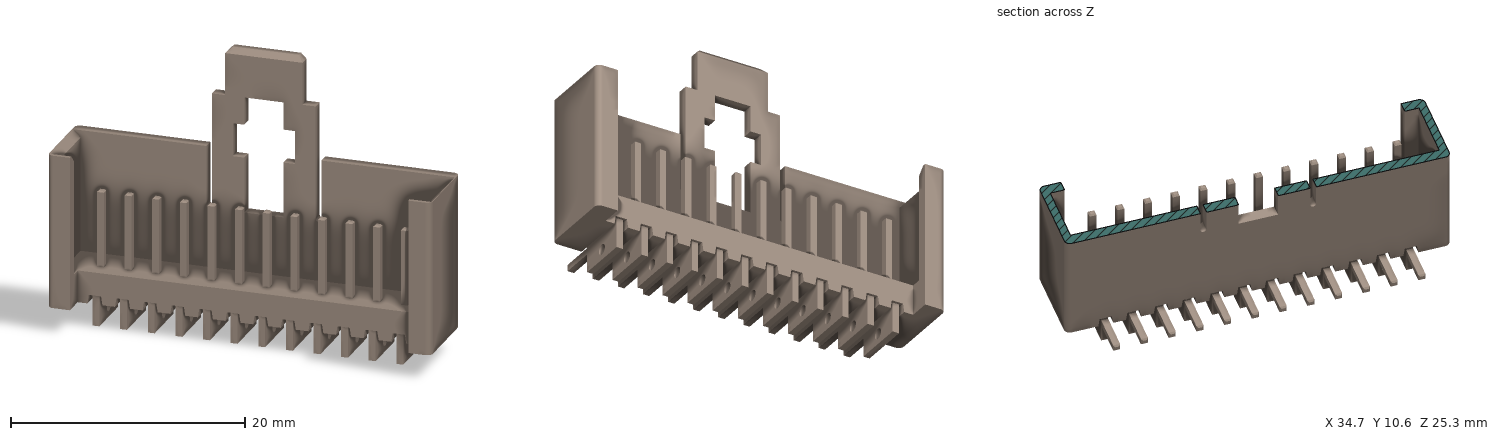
import cadquery as cq


length = 34.7
depth = 7.5
height = 14.0
corner_radius = 0.52
floor_top = 2.9
floor_front = 5.48
back_wall = 1.05
front_wall = 1.05
end_wall = 0.75
opening_width = 30.6
mouth_chamfer = 0.7

tab_width = 9.37
tab_head_width = 7.0
tab_shoulder = 18.88
tab_top = 23.2
tab_chamfer = 0.5

slot_width = 0.52
slot_bottom = 8.33
window_width = 3.55
window_wide_width = 5.62
window_wide_bottom = 13.35
window_wide_top = 16.38

pin_count = 12
pin_pitch = 2.5
pin_size = 0.62
pin_axis = 3.75
pin_top = 9.9
pin_tip_chamfer = 0.15
tail_reach = 3.1
blade_back = 0.3
blade_front = 5.2
blade_bottom = -2.08
blade_hole_diameter = 1.0
blade_hole_height = -1.08

notch_height = 0.8
notch_bottom_width = 1.35
notch_top_width = 1.1

pin_positions = [(i - (pin_count - 1) / 2) * pin_pitch for i in range(pin_count)]


def block(x_range, y_range, z_range):
    """Box spanning the given (low, high) pair on each axis."""
    spans = (x_range, y_range, z_range)
    sizes = [high - low for low, high in spans]
    corner = tuple(low for low, high in spans)
    return cq.Workplane("XY").box(*sizes, centered=False).translate(corner)


def centered_block(width, y_range, z_range):
    """Box of the given width, symmetric about X = 0."""
    return block((-width / 2, width / 2), y_range, z_range)


def make_shell():
    """Housing with rounded upright edges, its cavity and its open front."""
    shell = centered_block(length, (-depth, 0), (0, height))
    shell = shell.edges("|Z").fillet(corner_radius)

    cavity_width = length - 2 * end_wall
    cavity_depth = depth - back_wall - front_wall
    cavity_y = (-back_wall - cavity_depth, -back_wall)
    shell = shell.cut(centered_block(cavity_width, cavity_y, (floor_top, height)))
    shell = shell.cut(centered_block(opening_width, (-depth, -floor_front), (0, height)))

    mouth = (
        cq.Workplane("XY", origin=(0, -back_wall - cavity_depth / 2, height - mouth_chamfer))
        .rect(cavity_width, cavity_depth)
        .workplane(offset=mouth_chamfer)
        .center(0, -mouth_chamfer / 2)
        .rect(cavity_width + 2 * mouth_chamfer, cavity_depth + mouth_chamfer)
        .loft(ruled=True)
    )
    return shell.cut(mouth)


def make_tab():
    """Latch tab, reaching down into the back wall to the foot of the slots."""
    wall_y = (-back_wall, 0)
    head = centered_block(tab_head_width, wall_y, (tab_shoulder, tab_top))
    head = head.faces(">Z").edges("<Y or <X or >X").chamfer(tab_chamfer)
    stem = centered_block(tab_width, wall_y, (slot_bottom, tab_shoulder))
    return stem.union(head)


def make_slot(side):
    """Relief slot on one side of the tab, with a fully rounded bottom."""
    radius = slot_width / 2
    slot_axis = side * (tab_width / 2 + radius)
    round_center = slot_bottom + radius
    slot = centered_block(slot_width, (-back_wall, 0), (round_center, height))
    bottom = cq.Workplane("XZ").center(0, round_center).circle(radius).extrude(back_wall)
    return slot.union(bottom).translate((slot_axis, 0, 0))


def make_window():
    """Cross-shaped window through the tab."""
    wall_y = (-back_wall, 0)
    tall = centered_block(window_width, wall_y, (slot_bottom, tab_shoulder))
    wide = centered_block(window_wide_width, wall_y, (window_wide_bottom, window_wide_top))
    return tall.union(wide)


def make_notch():
    """Tapered notch running from front to back under the housing."""
    return (
        cq.Workplane("XZ")
        .moveTo(-notch_bottom_width / 2, 0)
        .lineTo(-notch_top_width / 2, notch_height)
        .lineTo(notch_top_width / 2, notch_height)
        .lineTo(notch_bottom_width / 2, 0)
        .close()
        .extrude(depth)
    )


def make_pin():
    """Contact pin with a drilled blade below and a straight tail to the rear."""
    half = pin_size / 2
    post = centered_block(pin_size, (-pin_axis - half, -pin_axis + half), (notch_height, pin_top))
    post = post.faces(">Z").chamfer(pin_tip_chamfer)
    tail = centered_block(pin_size, (-pin_axis, tail_reach), (-half, half))
    tail = tail.faces(">Y").chamfer(pin_tip_chamfer)
    blade = centered_block(pin_size, (-blade_front, -blade_back), (blade_bottom, notch_height))
    hole = (
        cq.Workplane("YZ")
        .center(-(blade_front + blade_back) / 2, blade_hole_height)
        .circle(blade_hole_diameter / 2)
        .extrude(half, both=True)
    )
    return post.union(tail).union(blade).cut(hole)


result = make_shell().union(make_tab()).cut(make_window())
for side in (-1, 1):
    result = result.cut(make_slot(side))

notch = make_notch()
pin = make_pin()
for x in pin_positions:
    result = result.cut(notch.translate((x, 0, 0)))
for x in pin_positions:
    result = result.union(pin.translate((x, 0, 0)))